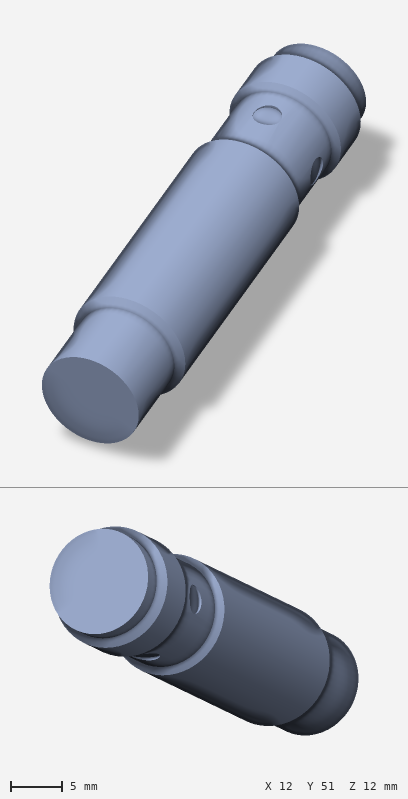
import cadquery as cq

total_length = 51.0
front_spigot_length = 8.0
body_rear = 34.3
collar_front = 43.7
collar_rear = 48.15
window_position = 39.75

body_diameter = 12.0
body_radius = body_diameter / 2
spigot_radius = 5.2
neck_radius = 5.3

spigot_bevel = body_radius - spigot_radius
neck_bevel = body_radius - neck_radius

window_count = 4
window_diameter = 2.85
window_floor_radius = 5.0


def turned_body():
    """Revolve the half profile, given as (radius, Y), about the Y axis."""
    profile = [
        (0, 0),
        (spigot_radius, 0),
        (spigot_radius, front_spigot_length),
        (body_radius, front_spigot_length + spigot_bevel),
        (body_radius, body_rear),
        (neck_radius, body_rear + neck_bevel),
        (neck_radius, collar_front - neck_bevel),
        (body_radius, collar_front),
        (body_radius, collar_rear),
        (spigot_radius, collar_rear + spigot_bevel),
        (spigot_radius, total_length),
        (0, total_length),
    ]
    return cq.Workplane("XY").polyline(profile).close().revolve(360, (0, 0, 0), (0, 1, 0))


def window_cutter(angle):
    """Cylinder reaching from the flat window floor out past the neck surface."""
    cutter = (
        cq.Workplane("XY", origin=(0, window_position, window_floor_radius))
        .circle(window_diameter / 2)
        .extrude(body_radius - window_floor_radius)
    )
    return cutter.rotate((0, 0, 0), (0, 1, 0), angle)


result = turned_body()
for index in range(window_count):
    result = result.cut(window_cutter(index * 360 / window_count))